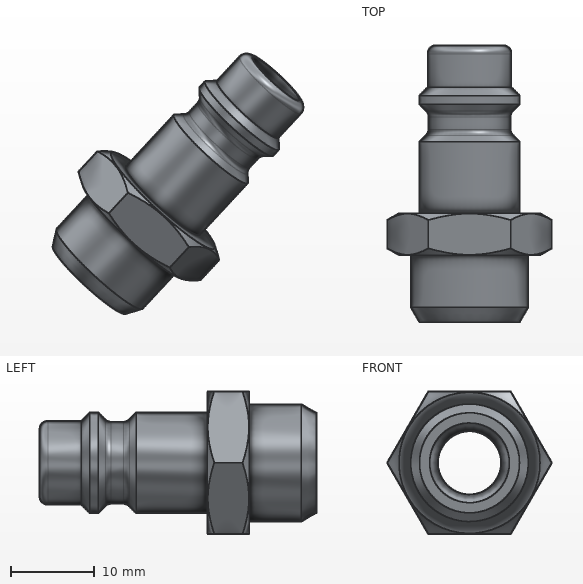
import cadquery as cq
import math


total_length = 33.0
bore_diameter = 7.5
countersink_diameter = 9.5
countersink_half_angle = 22.5

thread_diameter = 14.0
thread_length = 8.0
lead_in_width = 1.04
lead_in_half_angle = 30.0

hex_across_flats = 17.0
hex_thickness = 5.0
hex_face_diameter = 16.8
hex_chamfer_angle = 30.0

shank_diameter = 12.0
tip_diameter = 10.0
tip_fillet = 1.0
collar_slope_start = 5.0
collar_land = 1.0
neck_diameter = 9.8
neck_fillet = 1.0
shank_start = 11.5

bore_radius = bore_diameter / 2
thread_radius = thread_diameter / 2
shank_radius = shank_diameter / 2
tip_radius = tip_diameter / 2
neck_radius = neck_diameter / 2
hex_back = thread_length + hex_thickness


def turn(profile):
    """Full revolution of a half section about the Y axis."""
    return profile.revolve(360, (0, 0, 0), (0, 1, 0))


def make_threaded_end():
    """Cylinder on the -Y side of the hexagon, tapered at its free end."""
    lead_in_length = lead_in_width / math.tan(math.radians(lead_in_half_angle))
    profile = (
        cq.Workplane("XY")
        .lineTo(thread_radius - lead_in_width, 0)
        .lineTo(thread_radius, lead_in_length)
        .lineTo(thread_radius, thread_length)
        .lineTo(0, thread_length)
        .close()
    )
    return turn(profile)


def make_hexagon():
    """Hexagon with corners on the X axis, both faces cone-chamfered."""
    corner_radius = hex_across_flats / math.sqrt(3)
    face_radius = hex_face_diameter / 2
    chamfer_depth = (corner_radius - face_radius) * math.tan(math.radians(hex_chamfer_angle))
    prism = (
        cq.Workplane("XZ", origin=(0, hex_back, 0))
        .polygon(6, 2 * corner_radius)
        .extrude(hex_thickness)
    )
    half_section = (
        cq.Workplane("XY")
        .moveTo(0, thread_length)
        .lineTo(face_radius, thread_length)
        .lineTo(corner_radius, thread_length + chamfer_depth)
        .lineTo(corner_radius, hex_back - chamfer_depth)
        .lineTo(face_radius, hex_back)
        .lineTo(0, hex_back)
        .close()
    )
    return prism.intersect(turn(half_section))


def make_plug():
    """Shank, grooved neck, locking collar and rounded tip, with 45 degree slopes."""
    collar_rise = shank_radius - tip_radius
    collar_front = total_length - collar_slope_start - collar_rise
    collar_back = collar_front - collar_land
    shank_end = total_length - shank_start

    fillet_arc = math.radians(45)
    fillet_length = neck_fillet * math.sin(fillet_arc)
    fillet_rise = neck_fillet * (1 - math.cos(fillet_arc))
    mid_length = fillet_length - neck_fillet * math.sin(fillet_arc / 2)
    mid_rise = neck_fillet * (1 - math.cos(fillet_arc / 2))
    slope_length = shank_radius - neck_radius - fillet_rise
    fillet_top_radius = neck_radius + fillet_rise
    lower_slope_end = shank_end + slope_length
    upper_slope_end = collar_back - slope_length

    tip_centre_radius = tip_radius - tip_fillet
    tip_centre_y = total_length - tip_fillet
    tip_mid = tip_fillet * math.sqrt(0.5)

    profile = (
        cq.Workplane("XY")
        .moveTo(0, hex_back)
        .lineTo(shank_radius, hex_back)
        .lineTo(shank_radius, shank_end)
        .lineTo(fillet_top_radius, lower_slope_end)
        .threePointArc(
            (neck_radius + mid_rise, lower_slope_end + mid_length),
            (neck_radius, lower_slope_end + fillet_length),
        )
        .lineTo(neck_radius, upper_slope_end - fillet_length)
        .threePointArc(
            (neck_radius + mid_rise, upper_slope_end - mid_length),
            (fillet_top_radius, upper_slope_end),
        )
        .lineTo(shank_radius, collar_back)
        .lineTo(shank_radius, collar_front)
        .lineTo(tip_radius, collar_front + collar_rise)
        .lineTo(tip_radius, tip_centre_y)
        .threePointArc(
            (tip_centre_radius + tip_mid, tip_centre_y + tip_mid),
            (tip_centre_radius, total_length),
        )
        .lineTo(0, total_length)
        .close()
    )
    return turn(profile)


def make_bore():
    """Through bore with a conical countersink at the threaded end."""
    countersink_radius = countersink_diameter / 2
    countersink_width = countersink_radius - bore_radius
    countersink_depth = countersink_width / math.tan(math.radians(countersink_half_angle))
    profile = (
        cq.Workplane("XY")
        .lineTo(countersink_radius, 0)
        .lineTo(bore_radius, countersink_depth)
        .lineTo(bore_radius, total_length)
        .lineTo(0, total_length)
        .close()
    )
    return turn(profile)


body = make_threaded_end().union(make_hexagon()).union(make_plug())
result = body.cut(make_bore())